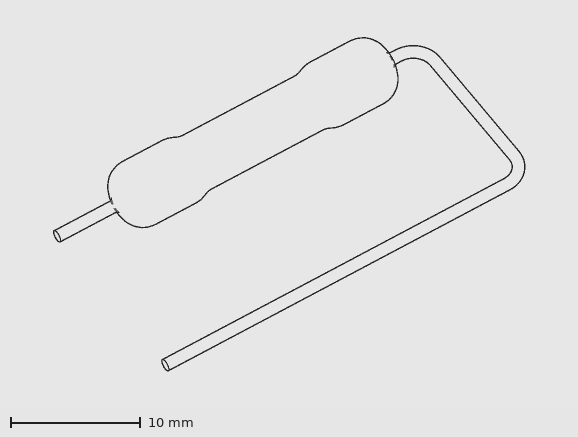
import cadquery as cq
import math

wire_radius = 0.495
lead_spacing = 15.0
bend_radius = 2.0
overall_length = 34.1

body_center_y = 18.1
cap_radius = 2.745
waist_radius = 4.7 / 2
band_count = 7
waist_half_length = 5.15
shoulder_length = 1.65
cap_half_length = 10.57
dome_radius = 1.95
wire_fillet = 0.5


def point_on_arc(center, radius, angle):
    """Point (radial, axial) on a circle in the half section."""
    return (center[0] + radius * math.cos(angle), center[1] + radius * math.sin(angle))


def make_end_cap():
    """End cap revolved about Y, from the end of the waist to the wire fillet."""
    shoulder_start = waist_half_length
    shoulder_end = shoulder_start + shoulder_length
    shoulder_step = cap_radius - waist_radius
    shoulder_radius = (shoulder_length**2 + shoulder_step**2) / (4 * shoulder_step)
    shoulder_half_angle = math.asin(shoulder_length / 2 / shoulder_radius) / 2
    shoulder_middle = ((waist_radius + cap_radius) / 2, (shoulder_start + shoulder_end) / 2)
    lower_center = (waist_radius + shoulder_radius, shoulder_start)
    upper_center = (cap_radius - shoulder_radius, shoulder_end)

    dome_center = (cap_radius - dome_radius, cap_half_length)
    fillet_center_r = wire_radius + wire_fillet
    tangent_angle = math.acos((fillet_center_r - dome_center[0]) / (dome_radius + wire_fillet))
    fillet_center = point_on_arc(dome_center, dome_radius + wire_fillet, tangent_angle)
    dome_end = point_on_arc(dome_center, dome_radius, tangent_angle)
    fillet_middle_angle = math.pi + tangent_angle / 2

    return (
        cq.Workplane("XY")
        .moveTo(0, shoulder_start)
        .lineTo(waist_radius, shoulder_start)
        .threePointArc(
            point_on_arc(lower_center, shoulder_radius, math.pi - shoulder_half_angle),
            shoulder_middle,
        )
        .threePointArc(
            point_on_arc(upper_center, shoulder_radius, -shoulder_half_angle),
            (cap_radius, shoulder_end),
        )
        .lineTo(cap_radius, cap_half_length)
        .threePointArc(point_on_arc(dome_center, dome_radius, tangent_angle / 2), dome_end)
        .threePointArc(
            point_on_arc(fillet_center, wire_fillet, fillet_middle_angle),
            (wire_radius, fillet_center[1]),
        )
        .lineTo(0, fillet_center[1])
        .close()
        .revolve(360, (0, 0, 0), (0, 1, 0))
    )


def make_body():
    """Two end caps joined by a waist whose color bands are flush, separate faces."""
    end_cap = make_end_cap()
    band_width = 2 * waist_half_length / band_count
    body = end_cap.mirror("XZ")
    for index in range(band_count):
        band_start = -waist_half_length + index * band_width
        band = (
            cq.Workplane("XZ", origin=(0, band_start, 0))
            .circle(waist_radius)
            .extrude(-band_width)
        )
        body = body.union(band, clean=False)
    return body.union(end_cap, clean=False).translate((0, body_center_y, 0))


def make_wire():
    """Lead through the body, bent over its top and back down alongside it."""
    top_y = overall_length - wire_radius
    bend_y = top_y - bend_radius
    far_bend_x = lead_spacing - bend_radius
    arc_offset = bend_radius * math.sin(math.pi / 4)
    path = (
        cq.Workplane("XY")
        .moveTo(0, 0)
        .lineTo(0, bend_y)
        .threePointArc((bend_radius - arc_offset, bend_y + arc_offset), (bend_radius, top_y))
        .lineTo(far_bend_x, top_y)
        .threePointArc((far_bend_x + arc_offset, bend_y + arc_offset), (lead_spacing, bend_y))
        .lineTo(lead_spacing, 0)
    )
    return cq.Workplane("XZ").circle(wire_radius).sweep(path)


result = make_body().union(make_wire(), clean=False)